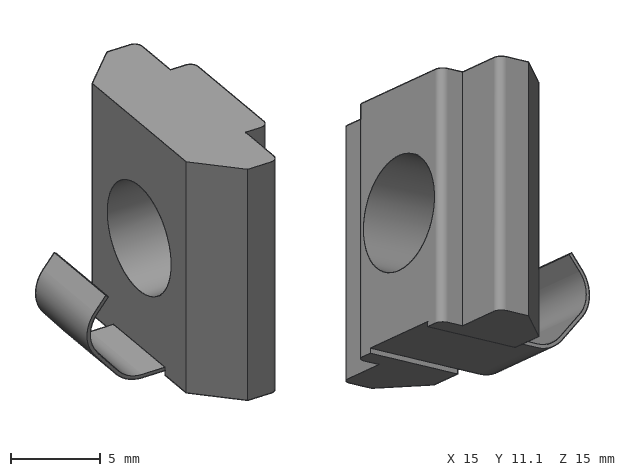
import cadquery as cq
import math

width = 15.0
height = 15.0
flange_depth = 4.5
neck_width = 8.0
neck_depth = 1.5
front_chamfer = 2.49
corner_radius = 0.5
hole_diameter = 6.8

spring_width = 5.49
spring_thickness = 0.22
slot_depth = 0.3
spring_reach = 5.1
foot_length = 1.5
spring_slope = 50.0
foot_bend_radius = 2.25
nose_radius = 2.18
tip_length = 1.12
spring_embed = 0.75

body_depth = flange_depth + neck_depth


def make_body():
    flange = (
        cq.Workplane("XY")
        .box(width, flange_depth, height, centered=(True, False, False))
        .edges("|Z and <Y")
        .chamfer(front_chamfer)
        .edges("|Z and >Y")
        .fillet(corner_radius)
    )
    neck = (
        cq.Workplane("XY")
        .box(neck_width, body_depth, height, centered=(True, False, False))
        .edges("|Z and >Y")
        .fillet(corner_radius)
    )
    hole = (
        cq.Workplane("XZ", origin=(0, 0, height / 2))
        .circle(hole_diameter / 2)
        .extrude(-body_depth)
    )
    slot = cq.Workplane("XY").box(spring_width, body_depth, slot_depth, centered=(True, False, False))
    return flange.union(neck).cut(hole).cut(slot)


def on_arc(center, radius, degrees):
    """Point in the YZ plane; angle 0 points forward (-Y), 90 points up."""
    angle = math.radians(degrees)
    return (center[0] - radius * math.cos(angle), center[1] + radius * math.sin(angle))


def trace_surface(profile, points):
    """Draw straight, arc, straight, arc, straight from the first point to the last."""
    _, arc_1_start, arc_1_mid, arc_1_end, arc_2_start, arc_2_mid, arc_2_end, end = points
    profile = profile.lineTo(*arc_1_start).threePointArc(arc_1_mid, arc_1_end)
    return profile.lineTo(*arc_2_start).threePointArc(arc_2_mid, arc_2_end).lineTo(*end)


def make_spring():
    foot_center = (-foot_length, slot_depth + foot_bend_radius)
    slope = math.radians(spring_slope)
    nose_half_angle = 90 - spring_slope
    leg_start = on_arc(foot_center, foot_bend_radius, -nose_half_angle)

    nose_y = nose_radius - spring_reach
    leg_end_y = on_arc((nose_y, 0), nose_radius, -nose_half_angle)[0]
    leg_end_z = leg_start[1] + (leg_start[0] - leg_end_y) * math.tan(slope)
    nose_center = (nose_y, leg_end_z + nose_radius * math.sin(math.radians(nose_half_angle)))

    def edge_points(inset):
        """Corner and mid-arc points of one sheet surface, from the foot to the tip."""
        foot_radius = foot_bend_radius - inset
        nose_surface_radius = nose_radius - inset
        nose_end = on_arc(nose_center, nose_surface_radius, nose_half_angle)
        tip = (nose_end[0] + tip_length * math.cos(slope), nose_end[1] + tip_length * math.sin(slope))
        return [
            (spring_embed, slot_depth + inset),
            on_arc(foot_center, foot_radius, -90),
            on_arc(foot_center, foot_radius, -(90 + nose_half_angle) / 2),
            on_arc(foot_center, foot_radius, -nose_half_angle),
            on_arc(nose_center, nose_surface_radius, -nose_half_angle),
            on_arc(nose_center, nose_surface_radius, 0),
            nose_end,
            tip,
        ]

    convex = edge_points(0)
    concave = edge_points(spring_thickness)[::-1]
    profile = cq.Workplane("YZ").moveTo(*convex[0])
    profile = trace_surface(profile, convex)
    profile = profile.lineTo(*concave[0])
    profile = trace_surface(profile, concave)
    return profile.close().extrude(spring_width / 2, both=True)


result = make_body().union(make_spring())